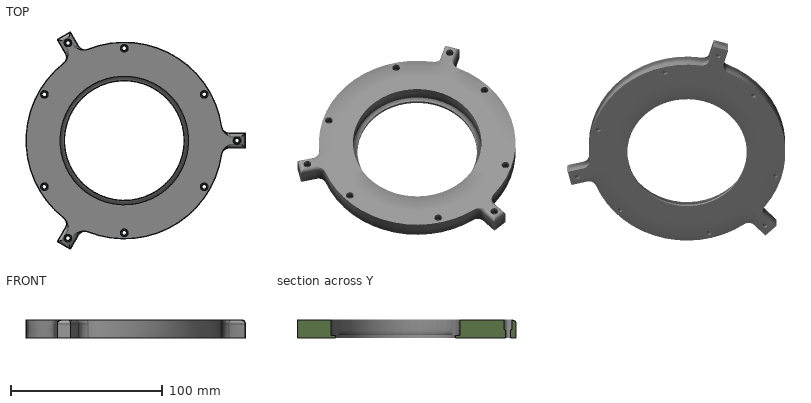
import cadquery as cq
import math

ring_diameter = 130.0
thickness = 12.0
bore_diameter = 85.0
lip_diameter = 79.0
lip_thickness = 2.0

ear_count = 3
ear_tip_radius = 80.0
ear_width = 10.0
ear_edge_radius = 2.5
ear_root_radius = 5.0
ear_hole_radius = 74.5
ear_cone_angle = 118.0

ring_hole_count = 6
ring_hole_circle_radius = 61.0
first_ring_hole_angle = 30.0
screw_diameter = 3.0
counterbore_diameter = 5.0
counterbore_depth = 6.0

tolerance = 0.01

ring_radius = ring_diameter / 2
bore_radius = bore_diameter / 2


def make_ear(angle):
    """Radial bar from the bore wall to the ear tip, with rounded top edges."""
    length = ear_tip_radius - bore_radius
    bar = (
        cq.Workplane("XY")
        .box(length, ear_width, thickness, centered=(False, True, False))
        .translate((bore_radius, 0, 0))
        .faces(">Z")
        .edges("|X or >X")
        .fillet(ear_edge_radius)
    )
    return bar.rotate((0, 0, 0), (0, 0, 1), angle)


def is_ear_root(edge):
    """True for an edge on the rim where the side or top of an ear meets the disc."""
    start = edge.startPoint()
    middle = edge.positionAt(0.5)
    end = edge.endPoint()
    on_rim = all(abs(math.hypot(p.x, p.y) - ring_radius) < tolerance for p in (start, middle, end))
    on_ear = tolerance < middle.z < thickness + tolerance and end.z < thickness + tolerance
    return on_rim and on_ear


def make_body():
    """Solid disc with its ears, blended where the ears leave the rim.

    The disc starts taller than the ring, so that each blend can run over the
    ear in one unbroken chain. Everything above the ring is then cut away.
    """
    body = cq.Workplane("XY").circle(ring_radius).extrude(2 * thickness)
    for index in range(ear_count):
        body = body.union(make_ear(index * 360 / ear_count))
    ear_roots = [edge for edge in body.edges().vals() if is_ear_root(edge)]
    body = body.newObject(ear_roots).fillet(ear_root_radius)
    ring_space = cq.Workplane("XY").circle(2 * ear_tip_radius).extrude(thickness)
    return body.intersect(ring_space)


def cut_bore(body):
    """Stepped bore that leaves a thin lip at the bottom."""
    bore = cq.Workplane("XY").workplane(offset=lip_thickness).circle(bore_radius).extrude(thickness)
    opening = cq.Workplane("XY").circle(lip_diameter / 2).extrude(thickness)
    return body.cut(bore).cut(opening)


def cut_ring_holes(body):
    """Through holes in the ring with flat-bottomed counterbores from the top."""
    return (
        body.faces(">Z")
        .workplane(origin=(0, 0, thickness))
        .polarArray(ring_hole_circle_radius, first_ring_hole_angle, 360, ring_hole_count)
        .cboreHole(screw_diameter, counterbore_diameter, counterbore_depth)
    )


def cut_ear_holes(body):
    """Through holes in the ears; each counterbore narrows to the hole in a cone."""
    screw_radius = screw_diameter / 2
    counterbore_radius = counterbore_diameter / 2
    cone_top = thickness - counterbore_depth
    cone_height = (counterbore_radius - screw_radius) / math.tan(math.radians(ear_cone_angle / 2))
    cutter = (
        cq.Workplane("XZ")
        .polyline(
            [
                (0, 0),
                (screw_radius, 0),
                (screw_radius, cone_top - cone_height),
                (counterbore_radius, cone_top),
                (counterbore_radius, thickness),
                (0, thickness),
            ]
        )
        .close()
        .revolve(360, (0, 0), (0, 1))
        .translate((ear_hole_radius, 0, 0))
    )
    for index in range(ear_count):
        body = body.cut(cutter.rotate((0, 0, 0), (0, 0, 1), index * 360 / ear_count))
    return body


result = make_body()
result = cut_bore(result)
result = cut_ring_holes(result)
result = cut_ear_holes(result)